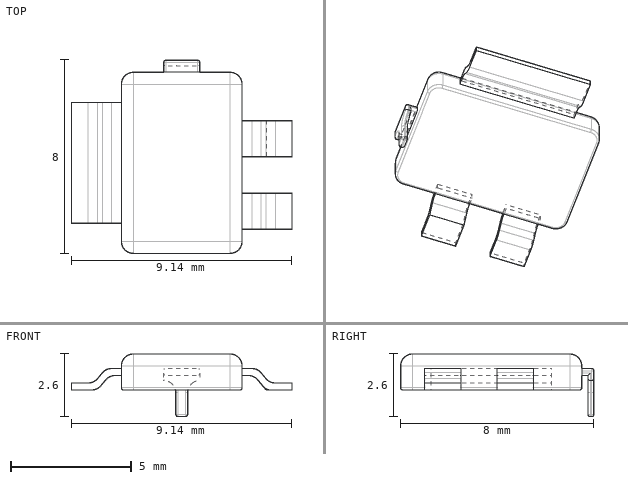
import cadquery as cq
import math

BODY_LENGTH_X = 5.0
BODY_LENGTH_Y = 7.5
BODY_HEIGHT = 1.5
BODY_ROUND = 0.5
BODY_BOTTOM_ROUND = 0.1

LEAD_SPAN = 9.14
LEAD_THICKNESS = 0.3
LEAD_RISE = 0.6
LEAD_SLOPE_ANGLE = math.radians(50)
LEAD_BEND_RADIUS = 0.5
LEAD_TOP_FLAT = 0.4
WIDE_LEAD_WIDTH = 5.0
NARROW_LEAD_WIDTH = 1.5
PLAIN_HEEL_LEAD_Y = 1.0
ROUND_HEEL_LEAD_Y = -2.0

TAB_WIDTH = 1.5
TAB_REACH = 0.5
TAB_PLATE_THICKNESS = 0.3
TAB_LEG_THICKNESS = 0.25
TAB_TOP_Z = LEAD_RISE + LEAD_THICKNESS
PIN_WIDTH = 0.5
PIN_BOTTOM_Z = -1.1
SHOULDER_Z = 0.4
SHOULDER_RADIUS = (TAB_WIDTH - PIN_WIDTH) / 2
TAB_EDGE_ROUND = 0.1

EMBED = 0.5


def make_body():
    """Block with rounded corners, a well rounded top and a small round at the bottom."""
    body = cq.Workplane("XY").box(
        BODY_LENGTH_X, BODY_LENGTH_Y, BODY_HEIGHT, centered=(True, True, False)
    )
    body = body.edges("|Z or >Z").fillet(BODY_ROUND)
    return body.faces("<Z").edges().fillet(BODY_BOTTOM_ROUND)


def make_lead(width, center_y, round_heel=True):
    """Gull-wing lead leaving the +X side of the body; the heel is its lower outer bend."""
    body_x = BODY_LENGTH_X / 2
    end_x = LEAD_SPAN / 2
    half_turn = math.tan(LEAD_SLOPE_ANGLE / 2)
    shoulder_x = body_x + LEAD_TOP_FLAT + LEAD_BEND_RADIUS * half_turn
    toe_x = shoulder_x + LEAD_RISE / math.tan(LEAD_SLOPE_ANGLE)
    underside_shift = LEAD_THICKNESS * half_turn
    top_z = LEAD_RISE + LEAD_THICKNESS
    root_x = body_x - EMBED

    top_shoulder = (shoulder_x, top_z)
    top_toe = (toe_x, LEAD_THICKNESS)
    heel = (toe_x - underside_shift, 0)
    underside_shoulder = (shoulder_x - underside_shift, LEAD_RISE)
    outline = [
        (root_x, top_z),
        top_shoulder,
        top_toe,
        (end_x, LEAD_THICKNESS),
        (end_x, 0),
        heel,
        underside_shoulder,
        (root_x, LEAD_RISE),
    ]
    lead = (
        cq.Workplane("XZ", origin=(0, center_y, 0))
        .polyline(outline)
        .close()
        .extrude(width / 2, both=True)
    )

    rounded_corners = [top_shoulder, top_toe, underside_shoulder]
    if round_heel:
        rounded_corners.append(heel)
    for corner_x, corner_z in rounded_corners:
        corner = cq.selectors.NearestToPointSelector((corner_x, center_y, corner_z))
        lead = lead.edges(corner).fillet(LEAD_BEND_RADIUS)
    return lead


def make_tab():
    """Plate leaving the +Y side, bent down and narrowed to a pin."""
    body_y = BODY_LENGTH_Y / 2
    outer_y = body_y + TAB_REACH
    inner_y = outer_y - TAB_LEG_THICKNESS
    plate_bottom_z = TAB_TOP_Z - TAB_PLATE_THICKNESS
    side = [
        (body_y - EMBED, TAB_TOP_Z),
        (outer_y, TAB_TOP_Z),
        (outer_y, PIN_BOTTOM_Z),
        (inner_y, PIN_BOTTOM_Z),
        (inner_y, plate_bottom_z),
        (body_y - EMBED, plate_bottom_z),
    ]
    bent_plate = cq.Workplane("YZ").polyline(side).close().extrude(TAB_WIDTH / 2, both=True)

    half_tab = TAB_WIDTH / 2
    half_pin = PIN_WIDTH / 2
    arc_end_z = SHOULDER_Z - SHOULDER_RADIUS
    arc_mid = SHOULDER_RADIUS * math.sqrt(0.5)
    front = (
        cq.Workplane("XZ", origin=(0, outer_y, 0))
        .moveTo(-half_tab, TAB_TOP_Z)
        .lineTo(half_tab, TAB_TOP_Z)
        .lineTo(half_tab, SHOULDER_Z)
        .threePointArc((half_tab - arc_mid, arc_end_z + arc_mid), (half_pin, arc_end_z))
        .lineTo(half_pin, PIN_BOTTOM_Z)
        .lineTo(-half_pin, PIN_BOTTOM_Z)
        .lineTo(-half_pin, arc_end_z)
        .threePointArc((arc_mid - half_tab, arc_end_z + arc_mid), (-half_tab, SHOULDER_Z))
        .close()
        .extrude(TAB_REACH + EMBED)
    )
    tab = bent_plate.intersect(front)

    leg_mid_y = (outer_y + inner_y) / 2
    sharp_edge_centers = [
        (0, inner_y, plate_bottom_z),
        (half_tab, leg_mid_y, SHOULDER_Z),
        (-half_tab, leg_mid_y, SHOULDER_Z),
    ]
    rounded_edges = cq.selectors.StringSyntaxSelector("not <Y")
    for center in sharp_edge_centers:
        rounded_edges = rounded_edges - cq.selectors.NearestToPointSelector(center)
    return tab.edges(rounded_edges).fillet(TAB_EDGE_ROUND)


wide_lead = make_lead(WIDE_LEAD_WIDTH, 0).mirror("YZ")
plain_heel_lead = make_lead(NARROW_LEAD_WIDTH, PLAIN_HEEL_LEAD_Y, round_heel=False)
round_heel_lead = make_lead(NARROW_LEAD_WIDTH, ROUND_HEEL_LEAD_Y)

result = (
    make_body()
    .union(wide_lead)
    .union(plain_heel_lead)
    .union(round_heel_lead)
    .union(make_tab())
)